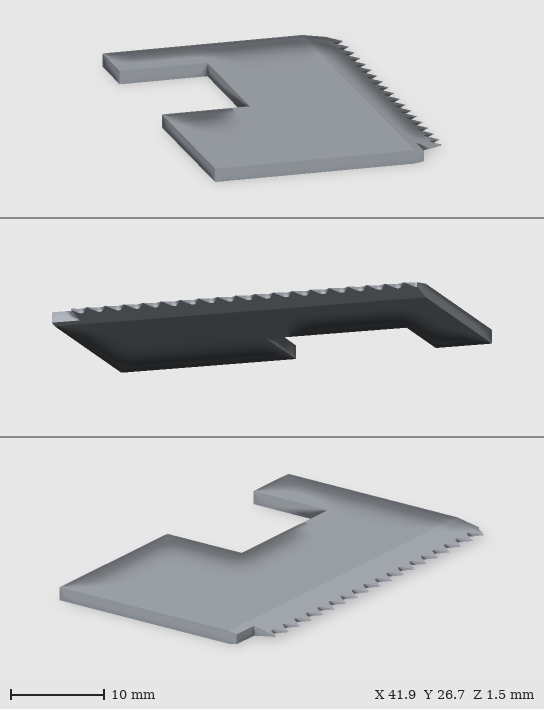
import cadquery as cq
import math

length = 41.9
height = 26.65
thickness = 1.5

bevel_depth = 4.3

toothed_length = 38.75
step_depth = 3.25

notch_left = 6.35
notch_width = 15.8
notch_depth = 9.8

tooth_count = 18
first_to_last_tip = 35.85
tooth_pitch = first_to_last_tip / (tooth_count - 1)
tooth_angle = 60.0
gullet_radius = 0.38


def blade_blank():
    """Plate whose front edge tapers to a sharp line at mid thickness."""
    return (
        cq.Workplane("YZ")
        .moveTo(0, 0)
        .lineTo(height - bevel_depth, 0)
        .lineTo(height, thickness / 2)
        .lineTo(height - bevel_depth, thickness)
        .lineTo(0, thickness)
        .close()
        .extrude(length)
    )


def rectangular_cutter(left, bottom, width, depth):
    """Block through the full thickness, placed by its lower left corner."""
    block = cq.Workplane("XY").rect(width, depth, centered=False).extrude(thickness)
    return block.translate((left, bottom, 0))


def gullet_cutter(center_x):
    """Gap between two tooth tips, with an arc tangent to both flanks."""
    half_angle = math.radians(tooth_angle / 2)
    half_pitch = tooth_pitch / 2
    sharp_root_y = height - half_pitch / math.tan(half_angle)
    arc_center_y = sharp_root_y + gullet_radius / math.sin(half_angle)
    tangent_x = gullet_radius * math.cos(half_angle)
    tangent_y = arc_center_y - gullet_radius * math.sin(half_angle)
    return (
        cq.Workplane("XY")
        .moveTo(center_x - half_pitch, height)
        .lineTo(center_x - tangent_x, tangent_y)
        .threePointArc((center_x, arc_center_y - gullet_radius), (center_x + tangent_x, tangent_y))
        .lineTo(center_x + half_pitch, height)
        .close()
        .extrude(thickness)
    )


result = blade_blank()
result = result.cut(rectangular_cutter(notch_left, 0, notch_width, notch_depth))
result = result.cut(
    rectangular_cutter(toothed_length, height - step_depth, length - toothed_length, step_depth)
)

for index in range(tooth_count + 1):
    result = result.cut(gullet_cutter(index * tooth_pitch))